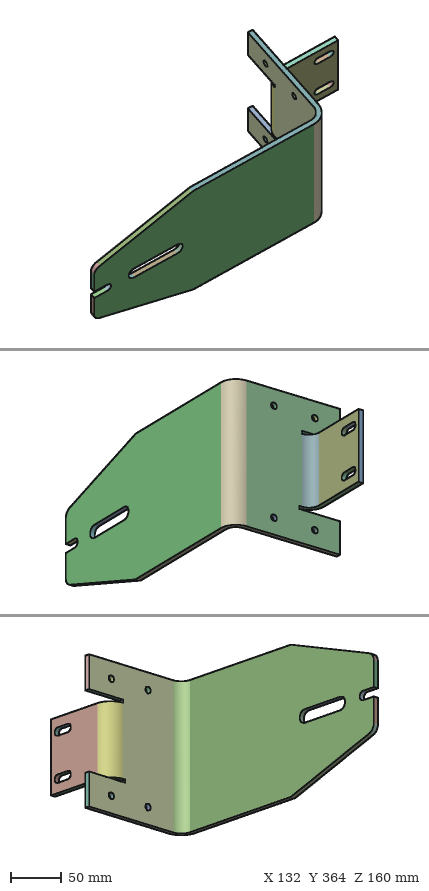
import cadquery as cq

width = 132.0
length = 364.0
height = 160.0

thickness = 6.0
inner_radius = 12.0
outer_radius = inner_radius + thickness

plate_back = length / 2 - 79.7
plate_front = plate_back - thickness
plate_left = -width / 2
plate_hole_diameter = 7.0
plate_hole_inset = 30.5
plate_hole_pitch_x = 50.0
plate_hole_edge = 18.5

tab_height = 80.0
tab_left = plate_left + 28.5
tab_bend_x = tab_left + outer_radius
tab_back = length / 2
tab_slot_length = 23.3
tab_slot_width = 8.7
tab_slot_pitch = 49.5
tab_slot_edge = 5.5

window_height = 86.5
relief_depth = 3.3

flange_right = width / 2
flange_tip = -length / 2
tip_height = 80.0
taper_length = 120.0
corner_radius = 10.0
flange_slot_length = 65.5
flange_slot_width = 14.2
flange_slot_tip_gap = 42.0
tip_notch_width = 10.0
tip_notch_depth = 20.5


def box(x_min, x_max, y_min, y_max, z_size):
    """Box centred on Z = 0."""
    return cq.Workplane("XY").box(x_max - x_min, y_max - y_min, z_size).translate(
        ((x_min + x_max) / 2, (y_min + y_max) / 2, 0)
    )


def bend(x, y, x_side, y_side, z_size):
    """Quarter bend about the axis at (x, y), in the quadrant given by the signs."""
    ring = cq.Workplane("XY").circle(outer_radius).circle(inner_radius).extrude(z_size / 2, both=True)
    quadrant = box(
        min(0, x_side * outer_radius),
        max(0, x_side * outer_radius),
        min(0, y_side * outer_radius),
        max(0, y_side * outer_radius),
        z_size,
    )
    return ring.intersect(quadrant).translate((x, y, 0))


def slot_along_y(x, y, z, slot_length, slot_width):
    """Round-ended slot cutter passing through a sheet centred at X = x."""
    return (
        cq.Workplane("YZ", origin=(x, y, z))
        .slot2D(slot_length, slot_width)
        .extrude(thickness, both=True)
    )


def make_plate():
    bend_start = flange_right - outer_radius
    plate = box(plate_left, bend_start, plate_front, plate_back, height)
    plate = plate.cut(box(plate_left, tab_bend_x, plate_front, plate_back, window_height))
    relief_height = (window_height - tab_height) / 2
    relief = box(tab_bend_x, tab_bend_x + relief_depth, plate_front, plate_back, relief_height)
    relief = relief.translate((0, 0, -(tab_height + relief_height) / 2))
    hole_x = plate_left + plate_hole_inset
    hole_z = height / 2 - plate_hole_edge
    holes = (
        cq.Workplane("XZ", origin=(0, plate_back, 0))
        .pushPoints([(x, z) for x in (hole_x, hole_x + plate_hole_pitch_x) for z in (-hole_z, hole_z)])
        .circle(plate_hole_diameter / 2)
        .extrude(thickness)
    )
    return plate.cut(relief).cut(holes)


def make_tab():
    bend_y = plate_front + outer_radius
    tab = box(tab_left, tab_left + thickness, bend_y, tab_back, tab_height)
    slot_y = tab_back - tab_slot_edge - tab_slot_length / 2
    for side in (-1, 1):
        slot_z = side * tab_slot_pitch / 2
        tab = tab.cut(
            slot_along_y(tab_left + thickness / 2, slot_y, slot_z, tab_slot_length, tab_slot_width)
        )
    return tab.union(bend(tab_bend_x, bend_y, -1, -1, tab_height))


def make_flange():
    bend_y = plate_back - outer_radius
    middle_x = flange_right - thickness / 2
    taper_start = flange_tip + taper_length
    flange = (
        cq.Workplane("YZ", origin=(flange_right - thickness, 0, 0))
        .polyline([
            (bend_y, -height / 2),
            (bend_y, height / 2),
            (taper_start, height / 2),
            (flange_tip, tip_height / 2),
            (flange_tip, -tip_height / 2),
            (taper_start, -height / 2),
        ])
        .close()
        .extrude(thickness)
    )

    flange = flange.edges("|X").edges(cq.selectors.BoxSelector(
        (0, flange_tip - thickness, -height), (width, taper_start + thickness, height)
    )).fillet(corner_radius)

    slot_y = flange_tip + flange_slot_tip_gap + flange_slot_length / 2
    flange = flange.cut(slot_along_y(middle_x, slot_y, 0, flange_slot_length, flange_slot_width))

    flange = flange.cut(slot_along_y(middle_x, flange_tip, 0, 2 * tip_notch_depth, tip_notch_width))
    return flange.union(bend(flange_right - outer_radius, bend_y, 1, 1, height))


result = make_plate().union(make_tab()).union(make_flange())